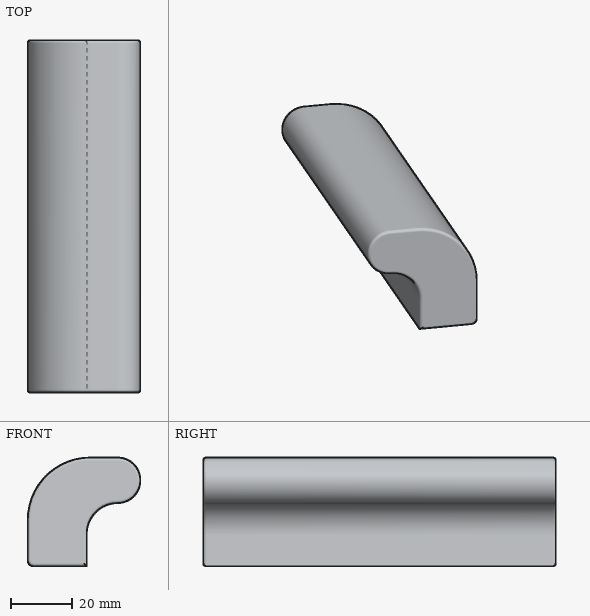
import cadquery as cq
import math

width = 36.8
length = 115.0
height = 35.5

outer_radius = 20.5
tip_radius = 7.5
inner_radius = 10.0

heel_radius = 2.0
end_edge_radius = 1.0

tip_x = width - tip_radius
foot_width = tip_x - inner_radius
tip_bottom_z = height - 2 * tip_radius
outer_center_z = height - outer_radius
inner_center_z = tip_bottom_z - inner_radius


def arc_point(center_x, center_z, radius, degrees):
    """Point on a circle in the profile plane."""
    angle = math.radians(degrees)
    return center_x + radius * math.cos(angle), center_z + radius * math.sin(angle)


def hooked_bar():
    """Extrude the foot, outer bend, rounded tip and inner bend along Y, centred on the origin in Y."""
    return (
        cq.Workplane("XZ")
        .moveTo(0, 0)
        .lineTo(0, outer_center_z)
        .threePointArc(
            arc_point(outer_radius, outer_center_z, outer_radius, 135),
            (outer_radius, height),
        )
        .lineTo(tip_x, height)
        .threePointArc((width, height - tip_radius), (tip_x, tip_bottom_z))
        .threePointArc(
            arc_point(tip_x, inner_center_z, inner_radius, 135),
            (foot_width, inner_center_z),
        )
        .lineTo(foot_width, 0)
        .close()
        .extrude(length / 2, both=True)
    )


bar = hooked_bar().edges("|Y and <X and <Z").fillet(heel_radius)
result = bar.faces("<Y or >Y").edges().fillet(end_edge_radius)